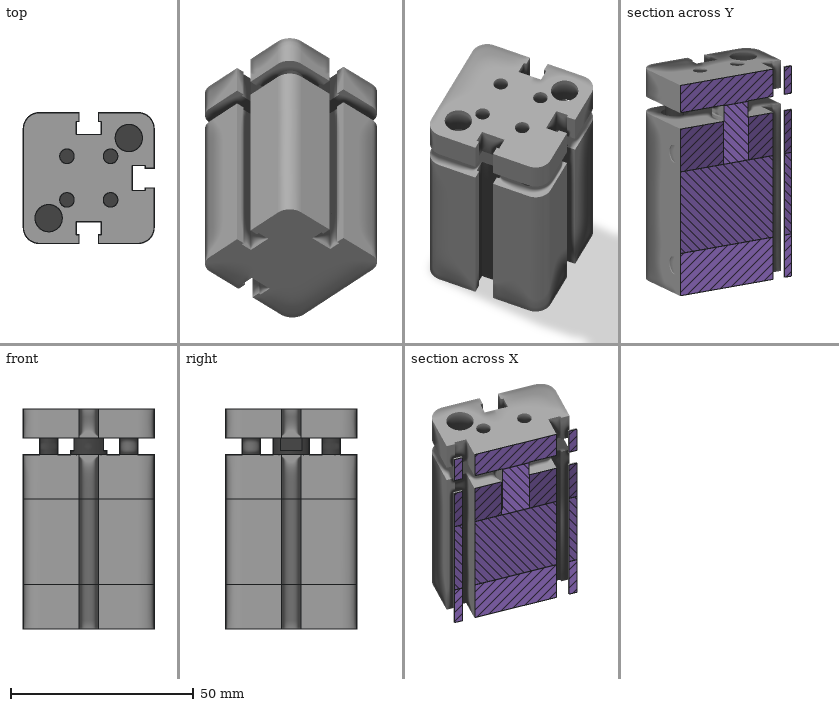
import cadquery as cq

width = 36.0
total_height = 60.5
corner_radius = 4.5
plate_thickness = 8.0
plate_gap = 4.55
cap_height = 12.3

plate_bottom = total_height - plate_thickness
front_cap_top = plate_bottom - plate_gap
front_cap_bottom = front_cap_top - cap_height
barrel_height = front_cap_bottom - cap_height

slot_mouth_width = 5.3
slot_inner_width = 6.8
slot_mouth_depth = 2.5
slot_depth = 6.0
slot_angles = (-90, 0, 90)

port_diameter = 5.0
port_depth = 0.25
port_end_distance = 8.0

corner_offset = 11.0
access_hole_diameter = 7.5
access_hole_points = [(-corner_offset, -corner_offset), (corner_offset, corner_offset)]

mounting_hole_diameter = 4.0
mounting_hole_offset = 6.0
mounting_hole_points = [
    (x_side * mounting_hole_offset, y_side * mounting_hole_offset)
    for x_side in (-1, 1)
    for y_side in (-1, 1)
]

guide_rod_diameter = 5.0
guide_hole_diameter = 7.5
guide_rod_points = [(-corner_offset, corner_offset), (corner_offset, -corner_offset)]

piston_rod_diameter = 10.0
flats_width = 8.1
flats_height = 3.45


def box_between(x_start, x_end, y_size, bottom, height):
    """Box from x_start to x_end, centred on Y = 0 and standing on the given height."""
    return (
        cq.Workplane("XY", origin=(x_start, 0, bottom))
        .box(x_end - x_start, y_size, height, centered=(False, True, False))
    )


def cylinders(points, diameter, bottom, height):
    """Vertical cylinders standing on the given height at the given XY points."""
    return (
        cq.Workplane("XY", origin=(0, 0, bottom))
        .pushPoints(points)
        .circle(diameter / 2)
        .extrude(height)
    )


def make_slotted_block(bottom, height):
    """Square block with rounded corners and a T-slot on its -Y, +X and +Y sides."""
    side = width / 2
    mouth_end = side - slot_mouth_depth
    slot_floor = side - slot_depth
    mouth = box_between(mouth_end, side, slot_mouth_width, bottom, height)
    wide_part = box_between(slot_floor, mouth_end, slot_inner_width, bottom, height)
    slot = mouth.union(wide_part)

    block = box_between(-side, side, width, bottom, height).edges("|Z").fillet(corner_radius)
    for angle in slot_angles:
        block = block.cut(slot.rotate((0, 0, 0), (0, 0, 1), angle))
    return block


def make_port(height):
    """Cutter for an air port centred at the given height on the -X side."""
    return (
        cq.Workplane("YZ", origin=(-width / 2, 0, height))
        .circle(port_diameter / 2)
        .extrude(port_depth)
    )


def make_rear_cap():
    return make_slotted_block(0, cap_height).cut(make_port(port_end_distance))


def make_barrel():
    return make_slotted_block(cap_height, barrel_height)


def make_front_cap():
    """End cap with a port, a bore for the piston rod and clearance holes for the guide rods."""
    cap = make_slotted_block(front_cap_bottom, cap_height)
    port = make_port(front_cap_top - port_end_distance)
    rod_bore = cylinders([(0, 0)], piston_rod_diameter, front_cap_bottom, cap_height)
    guide_holes = cylinders(guide_rod_points, guide_hole_diameter, front_cap_bottom, cap_height)
    return cap.cut(port).cut(rod_bore).cut(guide_holes)


def make_piston_rod():
    """Round rod from the barrel to the yoke plate, with flats facing -X and +X at its top."""
    rod = cylinders([(0, 0)], piston_rod_diameter, front_cap_bottom, cap_height + plate_gap)
    flat = box_between(
        flats_width / 2, piston_rod_diameter, piston_rod_diameter, plate_bottom - flats_height, flats_height
    )
    return rod.cut(flat).cut(flat.mirror("YZ"))


def make_yoke_plate():
    """Slotted end plate that carries the two guide rods."""
    plate = make_slotted_block(plate_bottom, plate_thickness)
    access_holes = cylinders(access_hole_points, access_hole_diameter, plate_bottom, plate_thickness)
    mounting_holes = cylinders(mounting_hole_points, mounting_hole_diameter, plate_bottom, plate_thickness)
    guide_rods = cylinders(guide_rod_points, guide_rod_diameter, front_cap_bottom, cap_height + plate_gap)
    return plate.cut(access_holes).cut(mounting_holes).union(guide_rods)


rear_cap = make_rear_cap()
barrel = make_barrel()
front_cap = make_front_cap()
piston_rod = make_piston_rod()
yoke_plate = make_yoke_plate()

bodies = [rear_cap, barrel, front_cap, piston_rod, yoke_plate]

result = cq.Compound.makeCompound([body.solids().val() for body in bodies])